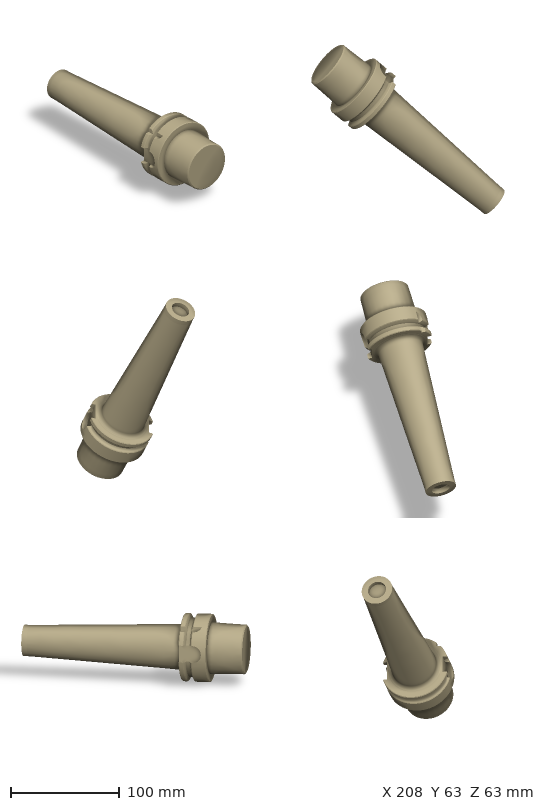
import cadquery as cq
import math

total_length = 208.0
nose_x = -total_length / 2
tail_x = total_length / 2
collar_length = 5.0
flange_width = 25.5
shank_length = 32.5
flange_back_x = tail_x - shank_length
flange_front_x = flange_back_x - flange_width

nose_radius = 29.0 / 2
neck_radius = 42.2 / 2
neck_fillet = 3.1
pad_height = 0.2
pad_radius = 25.2
pad_front_x = flange_front_x - pad_height
neck_end_x = pad_front_x - neck_fillet
bore_radius = 17.0 / 2
bore_depth = collar_length

flange_radius = 63.0 / 2
flange_chamfer = 0.6
groove_center_x = flange_front_x + 8.1
groove_floor_width = 3.5
groove_mouth_width = 8.1
groove_edge_chamfer = 0.6
groove_radius = 27.5

shank_front_radius = 24.0
shank_rear_radius = 22.9
shank_chamfer = 1.0

slot_end_x = flange_front_x + 21.2
slot_floor = 26.5
narrow_slot_width = 16.0
wide_slot_width = 18.0
slot_corner_radius = narrow_slot_width / 2

notch_wall = 20.4
notch_floor = 19.8
notch_flat_length = 13.0
notch_end_radius = slot_corner_radius


def revolved_body():
    """Solid of revolution about the X axis."""
    floor_front = groove_center_x - groove_floor_width / 2
    floor_back = groove_center_x + groove_floor_width / 2
    mouth_front = groove_center_x - groove_mouth_width / 2
    mouth_back = groove_center_x + groove_mouth_width / 2
    rim_radius = flange_radius - flange_chamfer
    groove_edge_radius = flange_radius - groove_edge_chamfer
    diagonal = neck_fillet * math.sqrt(0.5)
    fillet_middle = (neck_end_x + diagonal, neck_radius + neck_fillet - diagonal)
    fillet_end = (pad_front_x, neck_radius + neck_fillet)
    profile = (
        cq.Workplane("XY")
        .moveTo(nose_x, 0)
        .lineTo(nose_x, nose_radius)
        .lineTo(nose_x + collar_length, nose_radius)
        .lineTo(neck_end_x, neck_radius)
        .threePointArc(fillet_middle, fillet_end)
        .lineTo(flange_front_x, pad_radius)
        .lineTo(flange_front_x, rim_radius)
        .lineTo(flange_front_x + flange_chamfer, flange_radius)
        .lineTo(mouth_front, flange_radius)
        .lineTo(mouth_front + groove_edge_chamfer, groove_edge_radius)
        .lineTo(floor_front, groove_radius)
        .lineTo(floor_back, groove_radius)
        .lineTo(mouth_back - groove_edge_chamfer, groove_edge_radius)
        .lineTo(mouth_back, flange_radius)
        .lineTo(flange_back_x - flange_chamfer, flange_radius)
        .lineTo(flange_back_x, rim_radius)
        .lineTo(flange_back_x, shank_front_radius)
        .lineTo(tail_x - shank_chamfer, shank_rear_radius)
        .lineTo(tail_x, shank_rear_radius - shank_chamfer)
        .lineTo(tail_x, 0)
        .close()
    )
    return profile.revolve(360, (0, 0, 0), (1, 0, 0))


def nose_bore():
    """Blind tool bore in the nose."""
    return cq.Workplane("YZ", origin=(nose_x, 0, 0)).circle(bore_radius).extrude(bore_depth)


def drive_slot(width, side):
    """Flat-floored slot open at the flange front; side is the sign of Y."""
    half_width = width / 2
    corner_x = slot_end_x - slot_corner_radius
    corner_z = half_width - slot_corner_radius
    reach = slot_corner_radius * math.sqrt(0.5)
    outline = (
        cq.Workplane("XZ", origin=(0, side * slot_floor, 0))
        .moveTo(flange_front_x, -half_width)
        .lineTo(corner_x, -half_width)
        .threePointArc((corner_x + reach, -corner_z - reach), (slot_end_x, -corner_z))
    )
    if corner_z > 0:
        outline = outline.lineTo(slot_end_x, corner_z)
    outline = (
        outline
        .threePointArc((corner_x + reach, corner_z + reach), (corner_x, half_width))
        .lineTo(flange_front_x, half_width)
        .close()
    )
    return outline.extrude(-side * (flange_radius - slot_floor))


def orientation_notch():
    """Square-cornered notch at -Y, +Z whose floor curves up to meet the rim."""
    curve_start_x = flange_front_x + notch_flat_length
    curve_end_x = curve_start_x + notch_end_radius
    curve_center_z = notch_floor + notch_end_radius
    reach = notch_end_radius * math.sqrt(0.5)
    return (
        cq.Workplane("XZ", origin=(0, -notch_wall, 0))
        .moveTo(flange_front_x, notch_floor)
        .lineTo(curve_start_x, notch_floor)
        .threePointArc((curve_start_x + reach, curve_center_z - reach), (curve_end_x, curve_center_z))
        .lineTo(flange_front_x, curve_center_z)
        .close()
        .extrude(flange_radius - notch_wall)
    )


result = (
    revolved_body()
    .cut(nose_bore())
    .cut(drive_slot(narrow_slot_width, -1))
    .cut(drive_slot(wide_slot_width, 1))
    .cut(orientation_notch())
)